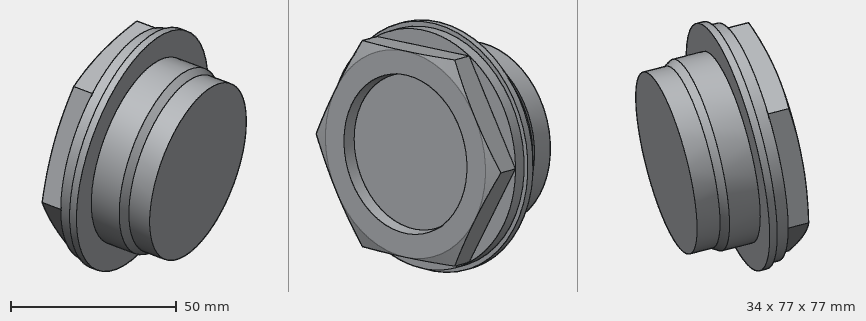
import cadquery as cq
import math

hex_end = 8.0
collar_end = 12.0
flange_end = 14.4
shank_end = 24.2
taper_end = 26.7
total_length = 34.01

collar_diameter = 74.0
flange_diameter = 76.96
shank_diameter = 59.61
nose_diameter = 56.6

hex_sides = 6
across_flats = 64.0
across_corners = across_flats / math.cos(math.pi / hex_sides)
corner_chamfer_depth = 1.4

recess_mouth_diameter = 49.2
recess_floor_diameter = 48.0
recess_depth = 4.0


def revolve_about_x(profile):
    """Revolve a closed (x, radius) profile a full turn about the X axis."""
    return cq.Workplane("XY").polyline(profile).close().revolve(360, (0, 0, 0), (1, 0, 0))


def make_hex_head():
    """Hexagonal prism whose outer corners are cut back by a shallow cone."""
    prism = cq.Workplane("YZ").polygon(hex_sides, across_corners).extrude(hex_end)
    chamfer_envelope = revolve_about_x([
        (0, 0),
        (0, across_flats / 2),
        (corner_chamfer_depth, across_corners / 2),
        (hex_end, across_corners / 2),
        (hex_end, 0),
    ])
    return prism.intersect(chamfer_envelope)


def make_turned_body():
    """Collar, flange, shank and reduced nose as one stepped revolution."""
    return revolve_about_x([
        (hex_end, 0),
        (hex_end, collar_diameter / 2),
        (collar_end, collar_diameter / 2),
        (collar_end, flange_diameter / 2),
        (flange_end, flange_diameter / 2),
        (flange_end, shank_diameter / 2),
        (shank_end, shank_diameter / 2),
        (taper_end, nose_diameter / 2),
        (total_length, nose_diameter / 2),
        (total_length, 0),
    ])


def make_recess():
    """Tapered plug removed from the hexagon face."""
    return revolve_about_x([
        (0, 0),
        (0, recess_mouth_diameter / 2),
        (recess_depth, recess_floor_diameter / 2),
        (recess_depth, 0),
    ])


result = make_hex_head().union(make_turned_body()).cut(make_recess())